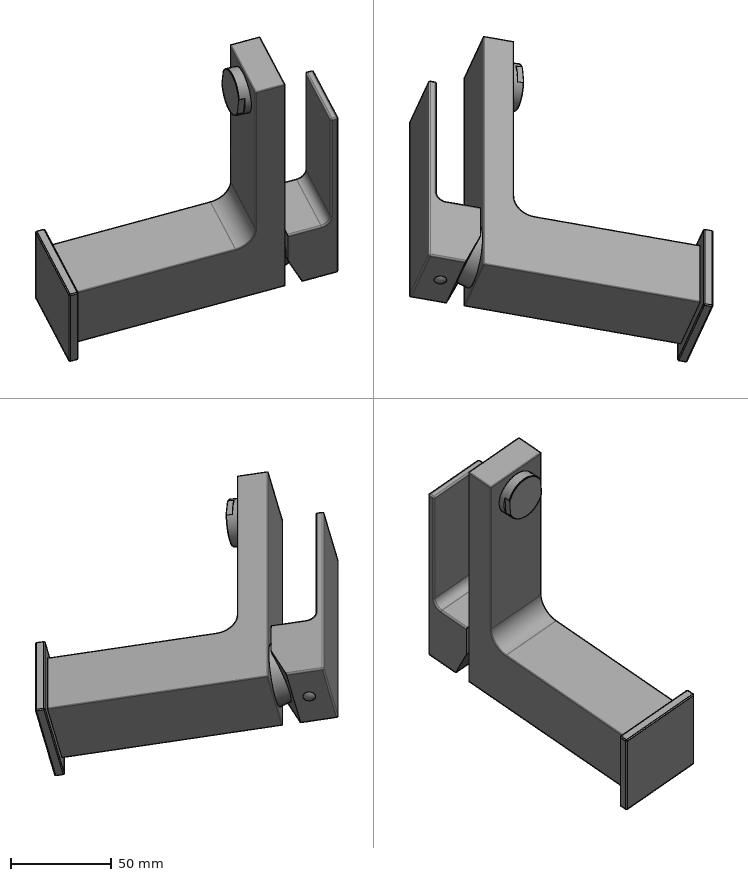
import cadquery as cq

plate_side = 48.0
plate_thickness = 5.0
plate_edge_chamfer = 0.6

body_width = 35.7
body_bottom = (plate_side - body_width) / 2
body_top = 150.0
body_back = 117.3
column_depth = 15.8
column_front = body_back - column_depth
arm_top = body_bottom + body_width
inner_corner_radius = 10.6
body_edge_fillet = 0.5
axis_height = plate_side / 2

nozzle_radius = 12.0
nozzle_rim_chamfer = 0.3
nozzle_height = 135.0
nozzle_tilt = 4.5
nozzle_length = 6.8
nozzle_flat_half_width = 11.0
nozzle_flat_depth = 3.3
nozzle_root = 3.0

lever_back = 145.6
blade_thickness = 4.0
blade_front = lever_back - blade_thickness
blade_top = 116.1
lever_bottom = 5.7
block_top = 41.7
block_front = 118.8
slope_top = 23.7
slope_back = 126.6
lever_corner_radius = 5.0
lever_edge_fillet = 0.9

boss_radius = 15.9
boss_tip_radius = 13.2
boss_length = 9.3

cap_radius = 3.2
cap_height = 1.4
cap_y = 134.5


def side_profile(points, width):
    """Extrude a (y, z) outline symmetrically about the x = 0 plane."""
    return cq.Workplane("YZ").polyline(points).close().extrude(width / 2, both=True)


def make_plate():
    plate = cq.Workplane("XY").box(plate_side, plate_thickness, plate_side)
    plate = plate.edges().chamfer(plate_edge_chamfer)
    return plate.translate((0, plate_thickness / 2, plate_side / 2))


def make_nozzle():
    total_length = nozzle_root + nozzle_length
    nozzle = cq.Workplane("XZ").circle(nozzle_radius).extrude(total_length)
    nozzle = nozzle.faces("<Y").chamfer(nozzle_rim_chamfer)
    nozzle = nozzle.translate((0, nozzle_root, 0))
    flat_start = nozzle_flat_depth - nozzle_length
    outside_flats = (
        cq.Workplane("XZ", origin=(0, flat_start, 0))
        .rect(4 * nozzle_radius, 4 * nozzle_radius)
        .rect(2 * nozzle_flat_half_width, 3 * nozzle_radius)
        .extrude(nozzle_flat_depth)
    )
    nozzle = nozzle.cut(outside_flats)
    nozzle = nozzle.rotate((0, 0, 0), (1, 0, 0), -nozzle_tilt)
    return nozzle.translate((0, column_front, nozzle_height))


def make_boss():
    """Cone frustum from the back of the column into the lever block."""
    start = cq.Vector(0, body_back, axis_height)
    along_y = cq.Vector(0, 1, 0)
    cone = cq.Solid.makeCone(boss_radius, boss_tip_radius, boss_length, start, along_y)
    return cq.Workplane(cone)


def make_housing():
    outline = [
        (plate_thickness, body_bottom),
        (body_back, body_bottom),
        (body_back, body_top),
        (column_front, body_top),
        (column_front, arm_top),
        (plate_thickness, arm_top),
    ]
    body = side_profile(outline, body_width)
    inner_corner = cq.selectors.NearestToPointSelector((0, column_front, arm_top))
    body = body.edges("|X").edges(inner_corner).fillet(inner_corner_radius)
    outer_edges = body.faces("<X or >X or >Z or >Y").edges()
    body = outer_edges.fillet(body_edge_fillet)
    return body.union(make_plate()).union(make_nozzle()).union(make_boss())


def make_cap():
    """Domed disc, reaching up into the lever block by its own height."""
    dome_radius = (cap_radius**2 + cap_height**2) / (2 * cap_height)
    cap = (
        cq.Workplane("XZ")
        .moveTo(0, cap_height)
        .lineTo(cap_radius, cap_height)
        .lineTo(cap_radius, 0)
        .radiusArc((0, -cap_height), dome_radius)
        .close()
        .revolve(360, (0, 0), (0, 1))
    )
    return cap.translate((0, cap_y, lever_bottom))


def make_lever():
    outline = [
        (lever_back, lever_bottom),
        (lever_back, blade_top),
        (blade_front, blade_top),
        (blade_front, block_top),
        (block_front, block_top),
        (block_front, slope_top),
        (slope_back, lever_bottom),
    ]
    lever = side_profile(outline, body_width)
    inner_corner = cq.selectors.NearestToPointSelector((0, blade_front, block_top))
    lever = lever.edges("|X").edges(inner_corner).fillet(lever_corner_radius)
    rounded_zone = cq.selectors.BoxSelector(
        (-body_width, slope_back, 0), (body_width, 2 * lever_back, 2 * blade_top)
    )
    side_edges = lever.faces("<X or >X").edges(rounded_zone)
    cross_edges = lever.faces(">Y or >Z").edges("|X")
    lever = side_edges.add(cross_edges).fillet(lever_edge_fillet)
    return lever.union(make_cap()).cut(make_boss())


housing = make_housing()
lever = make_lever()
result = cq.Compound.makeCompound([housing.solids().val(), lever.solids().val()])